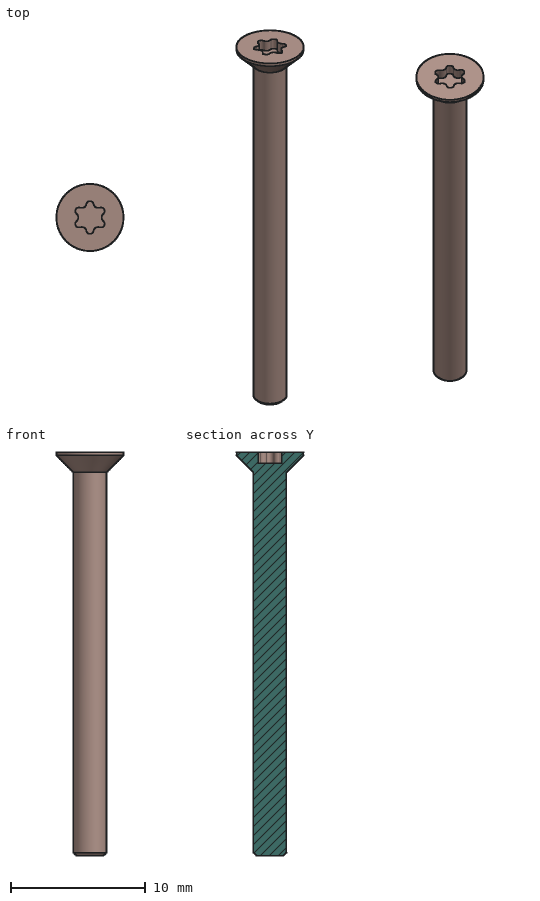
import cadquery as cq
import math

length = 30.0
head_diameter = 5.0
shank_diameter = 2.5

rim_height = 0.25
head_height = rim_height + (head_diameter - shank_diameter) / 2
tip_chamfer = 0.25

lobe_count = 6
recess_diameter = 2.43
recess_inner_diameter = 1.75
recess_depth = 0.8
lobe_radius = 0.27


def screw_body():
    """Revolve the half profile of head, shank and chamfered tip; head top at Z = 0."""
    head_radius = head_diameter / 2
    shank_radius = shank_diameter / 2
    profile = [
        (0, 0),
        (head_radius, 0),
        (head_radius, -rim_height),
        (shank_radius, -head_height),
        (shank_radius, -length + tip_chamfer),
        (shank_radius - tip_chamfer, -length),
        (0, -length),
    ]
    return cq.Workplane("XZ").polyline(profile).close().revolve(360, (0, 0), (0, 1))


def polar(radius, angle):
    return (radius * math.cos(angle), radius * math.sin(angle))


def recess_outline():
    """Closed outline of convex lobes and concave flutes that meet tangentially."""
    lobe_centre = recess_diameter / 2 - lobe_radius
    inner_radius = recess_inner_diameter / 2
    half_pitch = math.pi / lobe_count
    lobe_x, lobe_y = polar(lobe_centre, half_pitch)
    gap_squared = (lobe_x - inner_radius) ** 2 + lobe_y**2
    flute_radius = (gap_squared - lobe_radius**2) / (2 * (lobe_radius + lobe_x - inner_radius))
    flute_centre = inner_radius + flute_radius
    share = lobe_radius / (lobe_radius + flute_radius)
    flute_x, flute_y = polar(flute_centre, half_pitch)
    joint_x = lobe_centre + share * (flute_x - lobe_centre)
    joint_y = share * flute_y
    joint_radius = math.hypot(joint_x, joint_y)
    joint_angle = math.atan2(joint_y, joint_x)

    first_lobe = math.pi / 2
    outline = cq.Workplane("XY").moveTo(*polar(joint_radius, first_lobe - joint_angle))
    for index in range(lobe_count):
        lobe = first_lobe + 2 * half_pitch * index
        flute = lobe + half_pitch
        outline = outline.threePointArc(
            polar(recess_diameter / 2, lobe),
            polar(joint_radius, lobe + joint_angle),
        )
        outline = outline.threePointArc(
            polar(inner_radius, flute),
            polar(joint_radius, flute + half_pitch - joint_angle),
        )
    return outline.close()


recess = recess_outline().extrude(-recess_depth)
result = screw_body().cut(recess)